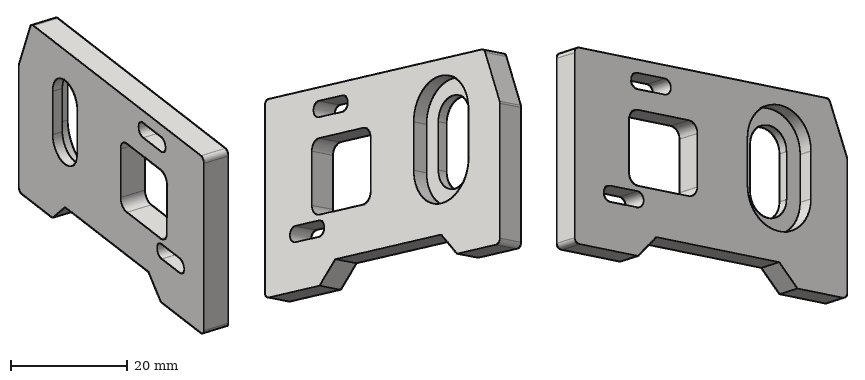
import cadquery as cq

length = 60.0
thickness = 5.0
height = 35.0
corner_radius = 1.0

slope_run = 4.0
slope_rise = 10.0

relief_depth = 4.0
relief_left = 11.0
relief_right = 46.0

upright_center = (15.0, 20.75)
upright_length = 16.5
upright_width = 8.0

recess_margin = 3.0
recess_floor_y = 2.0

window_center = (40.5, 19.25)
window_width = 15.0
window_height = 13.5
window_radius = 2.0

small_slot_length = 8.75
small_slot_width = 2.9
small_slot_centers = [(43.2, 31.15), (49.2, 10.1)]


def make_plate():
    """Plate profile in XZ, extruded toward +Y, with its outer corners rounded."""
    outline = [
        (0, 0),
        (relief_left, 0),
        (relief_left + relief_depth, relief_depth),
        (relief_right - relief_depth, relief_depth),
        (relief_right, 0),
        (length, 0),
        (length, height),
        (slope_run, height),
        (0, height - slope_rise),
    ]
    rounded_corners = [(0, 0), (length, 0), (length, height), (slope_run, height), (0, height - slope_rise)]
    plate = cq.Workplane("XZ").polyline(outline).close().extrude(-thickness)
    for x, z in rounded_corners:
        corner_edge = cq.selectors.NearestToPointSelector((x, thickness / 2, z))
        plate = plate.edges("|Y").edges(corner_edge).fillet(corner_radius)
    return plate


def make_slot(center, slot_length, slot_width, angle=0, start_y=0):
    """Round-ended cutter from start_y out through the +Y face."""
    sketch_plane = cq.Workplane("XZ", origin=(0, start_y, 0)).center(*center)
    return sketch_plane.slot2D(slot_length, slot_width, angle).extrude(start_y - thickness)


def make_recess():
    """Recess with the same margin all round the upright slot."""
    recess_length = upright_length + 2 * recess_margin
    recess_width = upright_width + 2 * recess_margin
    return make_slot(upright_center, recess_length, recess_width, angle=90, start_y=recess_floor_y)


def make_window():
    """Rectangular cutter with rounded corners."""
    window = cq.Workplane("XZ").center(*window_center).rect(window_width, window_height)
    return window.extrude(-thickness).edges("|Y").fillet(window_radius)


result = make_plate()
result = result.cut(make_slot(upright_center, upright_length, upright_width, angle=90))
result = result.cut(make_recess())
result = result.cut(make_window())
for slot_center in small_slot_centers:
    result = result.cut(make_slot(slot_center, small_slot_length, small_slot_width))